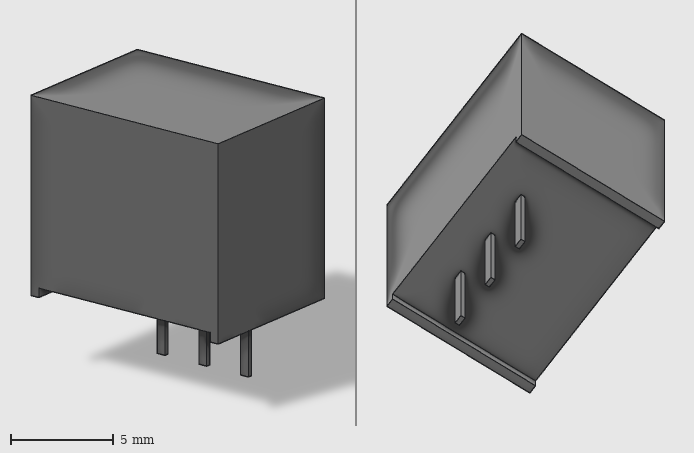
import cadquery as cq

body_length = 11.6
body_width = 8.5
total_height = 14.5
body_height = 10.4

standoff_height = 0.5
standoff_thickness = 0.5

pin_count = 3
pin_pitch = 2.58
pin_width = 0.5
pin_thickness = 0.25
pin_row_inset = 2.13

underside_z = standoff_height
pin_tip_z = body_height - total_height
pin_length = underside_z - pin_tip_z
pin_row_y = body_width / 2 - pin_row_inset


def make_body():
    """Block standing on z = 0, with a full-width channel between the standoffs."""
    block = cq.Workplane("XY").box(body_length, body_width, body_height, centered=(True, True, False))
    channel_length = body_length - 2 * standoff_thickness
    channel = cq.Workplane("XY").box(
        channel_length, body_width, standoff_height, centered=(True, True, False)
    )
    return block.cut(channel)


def make_pins():
    """Row of rectangular pins, centred in X, from the tips up to the underside."""
    return (
        cq.Workplane("XY", origin=(0, pin_row_y, pin_tip_z))
        .rarray(pin_pitch, 0.15, pin_count, 1)
        .rect(pin_width, pin_thickness)
        .extrude(pin_length)
    )


result = make_body().union(make_pins())